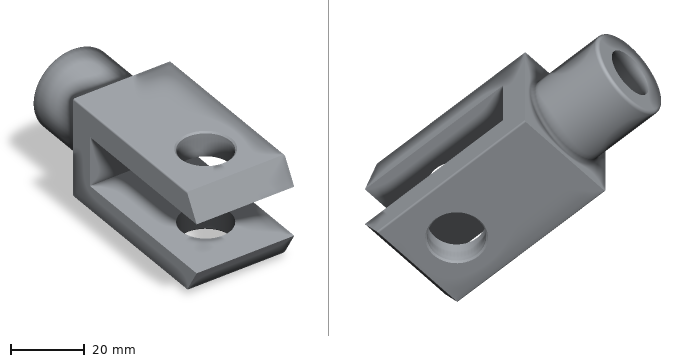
import cadquery as cq
import math

length = 83.0
block_side = 32.0
edge_rounding = 0.5

shank_length = 24.0
shank_diameter = 26.0
bore_diameter = 14.5
shank_rounding = 1.0

slot_start = block_side
slot_width = block_side / 2
tip_angle = 30.0

pin_x = 64.0
pin_diameter = slot_width
pin_chamfer = 0.5

half_side = block_side / 2
half_slot = slot_width / 2
tip_setback = (half_side - half_slot) * math.tan(math.radians(tip_angle))


def make_block():
    """Square block with its four long edges rounded."""
    block = cq.Workplane("XY").box(
        length - shank_length, block_side, block_side, centered=(False, True, True)
    )
    return block.edges("|X").fillet(edge_rounding).translate((shank_length, 0, 0))


def make_shank():
    """Revolved shank: rounded free end and a concave root fillet at the block."""
    radius = shank_diameter / 2
    r = shank_rounding
    diagonal = r * math.sqrt(0.5)
    root_x = shank_length - r
    root_radius = radius + r
    return (
        cq.Workplane("XY")
        .lineTo(0, radius - r)
        .threePointArc((r - diagonal, radius - r + diagonal), (r, radius))
        .lineTo(root_x, radius)
        .threePointArc((root_x + diagonal, root_radius - diagonal), (shank_length, root_radius))
        .lineTo(shank_length, 0)
        .close()
        .revolve(360, (0, 0, 0), (1, 0, 0))
    )


def make_slot():
    """Slot between the arms, open at the +X end."""
    return cq.Workplane("XY").box(
        length - slot_start, block_side, slot_width, centered=(False, True, True)
    ).translate((slot_start, 0, 0))


def make_tip_bevel(side):
    """Wedge that slopes the outer tip of the arm on the given Z side."""
    return (
        cq.Workplane("XZ")
        .moveTo(length, side * half_slot)
        .lineTo(length, side * half_side)
        .lineTo(length - tip_setback, side * half_side)
        .close()
        .extrude(half_side, both=True)
    )


def make_pin_cutter():
    """Pin hole through both arms, chamfered at the two outer faces."""
    radius = pin_diameter / 2
    rim_radius = radius + pin_chamfer
    rim_z = half_side - pin_chamfer
    return (
        cq.Workplane("XZ")
        .moveTo(0, -half_side)
        .lineTo(rim_radius, -half_side)
        .lineTo(radius, -rim_z)
        .lineTo(radius, rim_z)
        .lineTo(rim_radius, half_side)
        .lineTo(0, half_side)
        .close()
        .revolve(360, (0, 0, 0), (0, 1, 0))
        .translate((pin_x, 0, 0))
    )


bore = cq.Workplane("YZ").circle(bore_diameter / 2).extrude(slot_start)

result = make_block().union(make_shank()).cut(bore).cut(make_slot()).cut(make_pin_cutter())
for side in (1, -1):
    result = result.cut(make_tip_bevel(side))